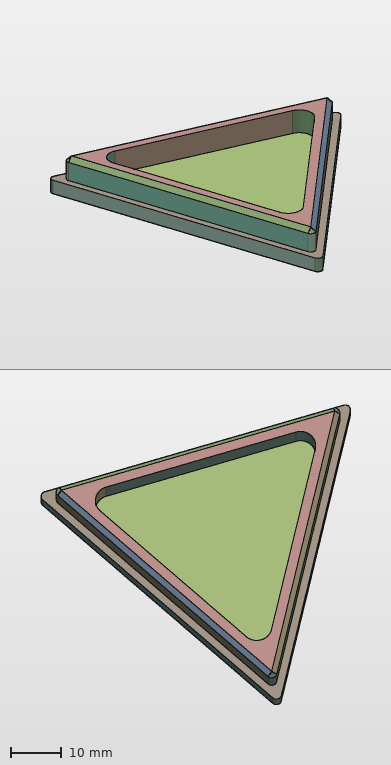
import cadquery as cq
import math

total_height = 8.0
base_height = 3.0
base_side = 65.0

ledge_width = 1.5
corner_radius = 1.0
chamfer = corner_radius

pocket_inset = 4.5
pocket_radius = 3.0
pocket_floor = base_height

base_inradius = base_side / (2 * math.sqrt(3))


def triangle_corners(inradius):
    """Corners of an equilateral triangle centred on Z, pointing toward +Y."""
    half_side = inradius * math.sqrt(3)
    return [(-half_side, -inradius), (half_side, -inradius), (0, 2 * inradius)]


def triangle_prism(inset, radius, bottom, top):
    """Triangular prism inset from the base outline, with rounded upright edges."""
    corners = triangle_corners(base_inradius - inset)
    prism = cq.Workplane("XY").workplane(offset=bottom).polyline(corners).close().extrude(top - bottom)
    return prism.edges("|Z").fillet(radius)


base = triangle_prism(0, corner_radius, 0, base_height)

block = triangle_prism(ledge_width, corner_radius, 0, total_height)
block = block.faces(">Z").edges().chamfer(chamfer)

pocket = triangle_prism(pocket_inset, pocket_radius, pocket_floor, total_height)

result = base.union(block).cut(pocket)